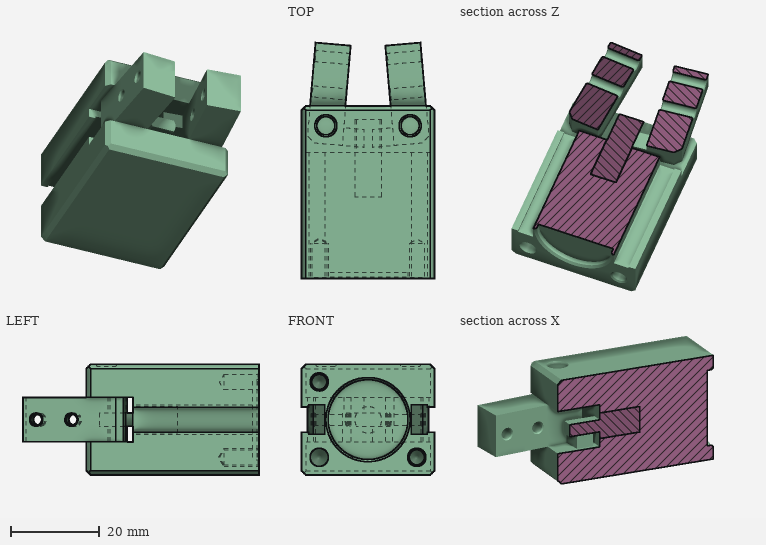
import cadquery as cq
import math


body_width = 30.0
body_length = 39.0
body_height = 25.0
body_chamfer = 1.0

finger_height = 10.0
slot_floor_y = 28.5

groove_depth = 5.2
groove_lip = 1.6
groove_mouth_height = 5.6
groove_inner_height = 6.6

recess_diameter = 18.0
recess_rim_diameter = 19.0
recess_depth = 1.5

mount_x = 11.0
mount_z = 8.5
mount_depth = 8.0
tap_diameter = 3.4
plain_hole_diameter = 4.1
tap_rim_diameter = plain_hole_diameter
drill_point_angle = 118.0

seat_x = 9.5
seat_y = 34.5
seat_rim_diameter = 5.0
seat_floor_diameter = 4.1

finger_angle = 5.0
finger_width = 8.0
finger_length = 22.55
finger_chamfer = 1.5
finger_tip_x = 11.85
finger_tip_y = 53.28
finger_hole_diameter = 2.5
finger_hole_rim_diameter = 3.0
finger_hole_from_tip = 3.0
finger_hole_spacing = 8.0
arm_end_x = 1.0
arm_width = 4.0

rod_diameter = 6.0
tongue_thickness = rod_diameter / 2
tongue_length = 7.5
rod_seat_depth = 10.0


def downward_cone(top_diameter, bottom_diameter, depth, top_z=0.0):
    """Cone frustum on the Z axis, going down from top_z."""
    return cq.Workplane(
        cq.Solid.makeCone(
            top_diameter / 2, bottom_diameter / 2, depth, cq.Vector(0, 0, top_z), cq.Vector(0, 0, -1)
        )
    )


def countersink(rim_diameter, diameter):
    """45 degree cone from the rim diameter down to the smaller diameter."""
    return downward_cone(rim_diameter, diameter, (rim_diameter - diameter) / 2)


def bore(diameter, depth):
    """Cylinder going down from the XY plane."""
    return cq.Workplane("XY").circle(diameter / 2).extrude(-depth)


def drilled_hole(diameter, depth):
    """Bore ending in a conical drill point."""
    point_length = diameter / 2 / math.tan(math.radians(drill_point_angle / 2))
    return bore(diameter, depth).union(downward_cone(diameter, 0, point_length, -depth))


def into_front_face(cutter, x, z):
    """Turn a downward cutter so that it enters the front face at x, z."""
    return cutter.rotate((0, 0, 0), (1, 0, 0), 90).translate((x, 0, z))


def side_groove(side):
    """T-groove along the whole housing in the side at -X (side = -1) or +X (side = 1)."""
    inner_depth = groove_depth - groove_lip
    mouth_x = (body_width - groove_lip) / 2
    mouth = cq.Workplane("XY").box(groove_lip, body_length, groove_mouth_height)
    mouth = mouth.translate((side * mouth_x, body_length / 2, 0))
    inner_x = body_width / 2 - groove_lip - inner_depth / 2
    inner = cq.Workplane("XY").box(inner_depth, body_length, groove_inner_height)
    inner = inner.translate((side * inner_x, body_length / 2, 0))
    return mouth.union(inner)


def make_block():
    """Housing block, chamfered along its four long edges and around its rear face."""
    blank = cq.Workplane("XY").box(body_width, body_length, body_height).translate((0, body_length / 2, 0))
    block = blank
    for chamfered_edges in ("|Y", "|X and >Y", "|Z and >Y"):
        block = block.intersect(blank.edges(chamfered_edges).chamfer(body_chamfer))
    return block


def make_housing():
    housing = make_block()

    slot_depth = body_length - slot_floor_y
    slot = cq.Workplane("XY").box(body_width, slot_depth, finger_height)
    housing = housing.cut(slot.translate((0, slot_floor_y + slot_depth / 2, 0)))

    for side in (-1, 1):
        housing = housing.cut(side_groove(side))

    recess = bore(recess_diameter, recess_depth).union(countersink(recess_rim_diameter, recess_diameter))
    housing = housing.cut(into_front_face(recess, 0, 0))

    tapped_hole = drilled_hole(tap_diameter, mount_depth).union(countersink(tap_rim_diameter, tap_diameter))
    for x, z in ((-mount_x, mount_z), (mount_x, -mount_z)):
        housing = housing.cut(into_front_face(tapped_hole, x, z))
    plain_hole = drilled_hole(plain_hole_diameter, mount_depth)
    housing = housing.cut(into_front_face(plain_hole, -mount_x, -mount_z))

    seat = countersink(seat_rim_diameter, seat_floor_diameter)
    for x in (-seat_x, seat_x):
        housing = housing.cut(seat.translate((x, seat_y, body_height / 2)))

    return housing.cut(make_rod())


def make_rod():
    """Round piston rod seated in the slot floor, flattened to a tongue where it enters the finger slot."""
    start = cq.Vector(0, slot_floor_y - rod_seat_depth, 0)
    rod_length = rod_seat_depth + tongue_length
    rod = cq.Workplane(cq.Solid.makeCylinder(rod_diameter / 2, rod_length, start, cq.Vector(0, 1, 0)))
    flat_height = (rod_diameter - tongue_thickness) / 2
    for side in (-1, 1):
        flat = cq.Workplane("XY").box(rod_diameter, tongue_length, flat_height)
        flat_z = side * (tongue_thickness + flat_height) / 2
        rod = rod.cut(flat.translate((0, slot_floor_y + tongue_length / 2, flat_z)))
    return rod


def make_finger():
    """Finger on the -X side. It is built upright, outer tip corner at the origin, then tilted into place."""
    finger = cq.Workplane("XY").box(finger_width, finger_length, finger_height, centered=(False, False, True))
    finger = finger.translate((0, -finger_length, 0))
    finger = finger.edges("|Z and <X and <Y").chamfer(finger_chamfer)

    arm_height = (finger_height - tongue_thickness) / 2
    arm_length = finger_tip_x
    arm = cq.Workplane("XY").box(arm_length, arm_width, arm_height, centered=False)
    finger = finger.union(arm.translate((finger_width / 2, -finger_length, tongue_thickness / 2)))

    half_hole = bore(finger_hole_diameter, finger_width / 2)
    half_hole = half_hole.union(countersink(finger_hole_rim_diameter, finger_hole_diameter))
    outer_half = half_hole.rotate((0, 0, 0), (0, 1, 0), -90)
    inner_half = half_hole.rotate((0, 0, 0), (0, 1, 0), 90).translate((finger_width, 0, 0))
    for distance in (finger_hole_from_tip, finger_hole_from_tip + finger_hole_spacing):
        for half in (outer_half, inner_half):
            finger = finger.cut(half.translate((0, -distance, 0)))

    finger = finger.rotate((0, 0, 0), (0, 0, 1), -finger_angle)
    finger = finger.translate((-finger_tip_x, finger_tip_y, 0))

    beyond_arm = cq.Workplane("XY").box(
        body_width, 2 * finger_tip_y, finger_height, centered=(False, True, True)
    )
    return finger.cut(beyond_arm.translate((-arm_end_x, 0, 0)))


housing = make_housing()
rod = make_rod()
finger = make_finger()
fingers = [finger.rotate((0, 0, 0), (0, 1, 0), turn) for turn in (0, 180)]

result = cq.Compound.makeCompound([housing.val(), rod.val(), *[each.val() for each in fingers]])